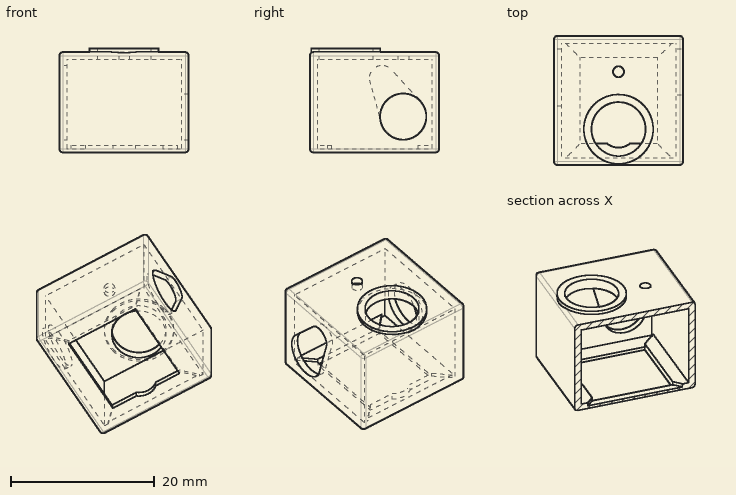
import cadquery as cq
import math

side = 18.0
total_height = 14.5
collar_height = 0.5
wall = 1.0
edge_radius = 0.5
body_height = total_height - collar_height
inner_side = side - 2 * wall
inner_half = inner_side / 2

collar_y = -4.0
collar_diameter = 9.67
bore_diameter = 7.5

pin_hole_y = 4.0
pin_hole_diameter = 1.5

side_hole_y = 4.0
side_hole_z = 5.0
side_hole_radius = 6.4 / 2
teardrop_tip_y = 1.0
teardrop_tip_z = 10.42
teardrop_tip_radius = 1.75

opening_half_x = 5.4
opening_half_y = 6.0
strip_floor_z = wall / 2
relief_radius = 2.55


def make_body():
    body = cq.Workplane("XY").box(side, side, body_height, centered=(True, True, False))
    body = body.edges().fillet(edge_radius)
    collar = (
        cq.Workplane("XY", origin=(0, collar_y, body_height - wall))
        .circle(collar_diameter / 2)
        .extrude(wall + collar_height)
    )
    return body.union(collar)


def make_cavity():
    return cq.Workplane("XY", origin=(0, 0, wall)).box(
        inner_side, inner_side, body_height - 2 * wall, centered=(True, True, False)
    )


def roof_hole(y, diameter):
    bottom = body_height - 2 * wall
    return (
        cq.Workplane("XY", origin=(0, y, bottom))
        .circle(diameter / 2)
        .extrude(total_height - bottom)
    )


def side_circle(x_start, length):
    return (
        cq.Workplane("YZ", origin=(x_start, 0, 0))
        .center(side_hole_y, side_hole_z)
        .circle(side_hole_radius)
        .extrude(length)
    )


def make_teardrop():
    """Two circles joined by their outer tangent lines, cut through the -X wall."""
    run_y = teardrop_tip_y - side_hole_y
    run_z = teardrop_tip_z - side_hole_z
    axis_angle = math.atan2(run_z, run_y)
    spread = math.acos((side_hole_radius - teardrop_tip_radius) / math.hypot(run_y, run_z))

    def on_base(angle):
        return (
            side_hole_y + side_hole_radius * math.cos(angle),
            side_hole_z + side_hole_radius * math.sin(angle),
        )

    def on_tip(angle):
        return (
            teardrop_tip_y + teardrop_tip_radius * math.cos(angle),
            teardrop_tip_z + teardrop_tip_radius * math.sin(angle),
        )

    return (
        cq.Workplane("YZ", origin=(-side / 2, 0, 0))
        .moveTo(*on_base(axis_angle - spread))
        .lineTo(*on_tip(axis_angle - spread))
        .threePointArc(on_tip(axis_angle), on_tip(axis_angle + spread))
        .lineTo(*on_base(axis_angle + spread))
        .threePointArc(on_base(axis_angle + math.pi), on_base(axis_angle - spread))
        .close()
        .extrude(wall)
    )


def make_floor_opening():
    opening = cq.Workplane("XY").rect(2 * opening_half_x, 2 * opening_half_y).extrude(wall)
    relief = cq.Workplane("XY").center(0, collar_y).circle(relief_radius).extrude(wall)
    return opening.union(relief)


def make_lowered_strip(direction):
    """Floor recess on one X end, widening at 45 degrees up to the Y walls."""
    flare = inner_half - opening_half_y
    inner_x = direction * opening_half_x
    flare_x = direction * (opening_half_x + flare)
    outer_x = direction * inner_half
    outline = [
        (inner_x, -opening_half_y),
        (flare_x, -inner_half),
        (outer_x, -inner_half),
        (outer_x, inner_half),
        (flare_x, inner_half),
        (inner_x, opening_half_y),
    ]
    return (
        cq.Workplane("XY", origin=(0, 0, strip_floor_z))
        .polyline(outline)
        .close()
        .extrude(wall - strip_floor_z)
    )


result = (
    make_body()
    .cut(make_cavity())
    .cut(roof_hole(collar_y, bore_diameter))
    .cut(roof_hole(pin_hole_y, pin_hole_diameter))
    .cut(make_teardrop())
    .cut(side_circle(inner_half, wall))
    .cut(make_floor_opening())
)
for x_direction in (-1, 1):
    result = result.cut(make_lowered_strip(x_direction))